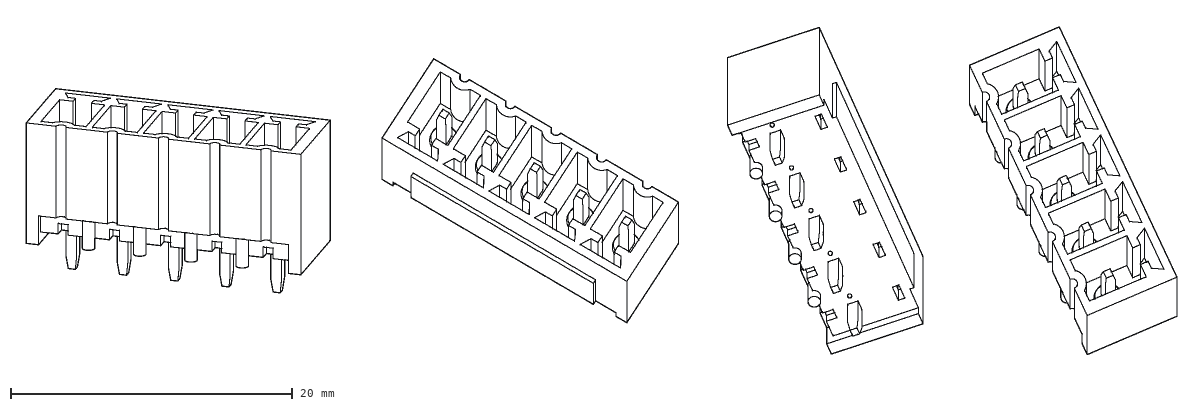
import cadquery as cq


pin_count = 5
row_length = 15.25
pin_y = 2.8

housing_length = 20.45
housing_depth = 7.0
housing_height = 9.2
floor_bottom_z = 0.8
pocket_floor_z = 2.2

pocket_half_width = 1.68
pocket_front_y = 0.6
tongue_front_y = 5.0
tongue_back_y = 5.6
pocket_back_y = 6.38
neck_half_width = 0.67
dovetail_half_width = 1.25
bulge_radius = 1.0

window_width = 1.17
window_depth = 0.5
collar_base_diameter = 2.05
collar_top_diameter = 1.88
collar_height = 0.5

groove_diameter = 0.74
recess_depth = 0.5
recess_top_z = 2.2
rib_diameter = 0.9
slot_width = 0.74
slot_height = 0.8
slot_depth = 0.8
bead_diameter = 0.3
bead_height = 0.2
bead_offset = 1.02

plate_thickness = 0.3
plate_top_z = 5.48

pin_width = 0.8
pin_tip_width = 0.53
pin_taper_length = 1.0
pin_top_z = 8.0
pin_bottom_z = -2.6

pitch = row_length / (pin_count - 1)
pin_xs = [i * pitch - row_length / 2 for i in range(pin_count)]
rib_xs = [x + pitch / 2 for x in pin_xs[:-1]]
recess_length = row_length + 2 * pocket_half_width


def block(x_center, length, y_start, y_end, z_start, z_end):
    """Axis-aligned block centred on x_center."""
    return (
        cq.Workplane("XY")
        .box(length, y_end - y_start, z_end - z_start, centered=(True, False, False))
        .translate((x_center, y_start, z_start))
    )


def upright_cylinder(x, y, diameter, z_start, z_end):
    """Vertical cylinder about an axis at (x, y)."""
    return (
        cq.Workplane("XY", origin=(x, y, z_start))
        .circle(diameter / 2)
        .extrude(z_end - z_start)
    )


def pocket(x):
    """Plug pocket: a keyed outline with a dovetail at the back and a round bulge at the front."""
    half_outline = [
        (pocket_half_width, pocket_front_y),
        (pocket_half_width, tongue_front_y),
        (neck_half_width, tongue_front_y),
        (neck_half_width, tongue_back_y),
        (dovetail_half_width, tongue_back_y),
        (pocket_half_width, pocket_back_y),
    ]
    mirrored_outline = [(-px, py) for px, py in reversed(half_outline)]
    cavity = (
        cq.Workplane("XY", origin=(x, 0, pocket_floor_z))
        .polyline(half_outline + mirrored_outline)
        .close()
        .extrude(housing_height - pocket_floor_z)
    )
    bulge = upright_cylinder(x, 0, 2 * bulge_radius, pocket_floor_z, housing_height)
    return cavity.cut(bulge)


def collar(x):
    """Tapered round collar that rises from the pocket floor around the pin."""
    return (
        cq.Workplane("XY", origin=(x, pin_y, pocket_floor_z))
        .circle(collar_base_diameter / 2)
        .workplane(offset=collar_height)
        .circle(collar_top_diameter / 2)
        .loft()
    )


def pin_hole(x):
    """Square hole through the floor and collar that fits the pin shank."""
    return block(x, pin_width, pin_y - pin_width / 2, pin_y + pin_width / 2,
                 floor_bottom_z, pocket_floor_z + collar_height)


def window(x):
    """Rectangular opening through the floor behind the dovetail."""
    return block(x, window_width, pocket_back_y - window_depth, pocket_back_y,
                 floor_bottom_z, pocket_floor_z)


def slot(x):
    """Short notch in the recessed front face, open at the floor underside."""
    return block(x, slot_width, recess_depth, recess_depth + slot_depth,
                 floor_bottom_z, floor_bottom_z + slot_height)


def groove(x):
    """Half-round vertical groove in the front face."""
    return upright_cylinder(x, 0, groove_diameter, recess_top_z, housing_height)


def rib(x):
    """Round standoff post under the front wall, tangent to the front face."""
    return upright_cylinder(x, rib_diameter / 2, rib_diameter, 0, recess_top_z)


def bead(x):
    """Round-ended standoff bead under the floor."""
    radius = bead_diameter / 2
    center_z = floor_bottom_z - bead_height + radius
    return cq.Workplane("XY").sphere(radius).translate((x, pin_y, center_z))


def make_housing():
    body = block(0, housing_length, 0, housing_depth, 0, housing_height)

    body = body.cut(block(0, recess_length, 0, housing_depth, 0, floor_bottom_z))
    body = body.cut(block(0, recess_length, 0, recess_depth, 0, recess_top_z))

    plate_back_y = housing_depth + plate_thickness
    body = body.union(
        block(0, row_length, housing_depth, plate_back_y, floor_bottom_z, plate_top_z)
    )

    for x in pin_xs:
        body = body.cut(pocket(x)).union(collar(x))
        body = body.cut(pin_hole(x)).cut(window(x)).cut(slot(x)).cut(groove(x))
        for side in (-1, 1):
            body = body.union(bead(x + side * bead_offset))

    for x in rib_xs:
        body = body.union(rib(x))
    return body


def make_pin(x):
    """Square pin with a tapered tip at each end."""
    shank_bottom_z = pin_bottom_z + pin_taper_length
    shank_top_z = pin_top_z - pin_taper_length
    shank = block(x, pin_width, pin_y - pin_width / 2, pin_y + pin_width / 2,
                  shank_bottom_z, shank_top_z)
    for face in (">Z", "<Z"):
        shank = (
            shank.faces(face)
            .workplane(centerOption="CenterOfMass")
            .rect(pin_width, pin_width)
            .workplane(offset=pin_taper_length)
            .rect(pin_tip_width, pin_tip_width)
            .loft(combine=True)
        )
    return shank


housing = make_housing()
pins = [make_pin(x) for x in pin_xs]

result = cq.Compound.makeCompound([housing.val(), *[pin.val() for pin in pins]])